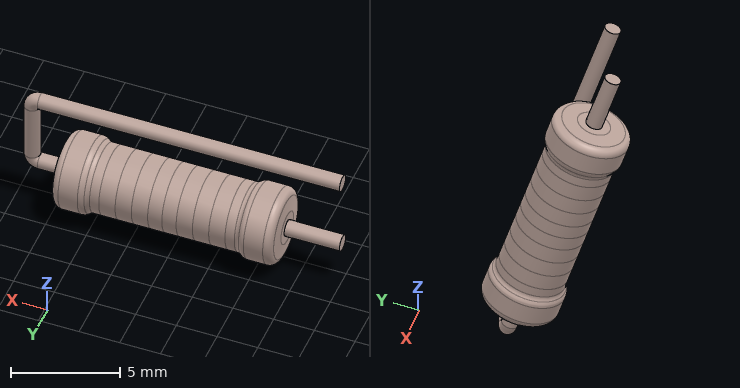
import cadquery as cq
import math


body_length = 11.0
cap_radius = 1.9
waist_radius = 1.7
end_flat_radius = 0.8
end_fillet_radius = 0.4
end_taper = math.radians(5.5)
cap_outer_x = 5.03
cap_inner_x = 4.08
shoulder_end_x = 3.56
convex_share = 0.55

bands_per_half = 2
band_width = 0.8
band_pitch = 1.6
inner_band_start = 0.7

wire_radius = 0.4
bend_radius = wire_radius
lead_end_x = -8.22
riser_x = 7.03
return_height = 3.8

half_length = body_length / 2


def shoulder_points():
    """Middle and end points of the two equal-angle arcs of the S-curve from cap to waist."""
    drop = cap_radius - waist_radius
    run = cap_inner_x - shoulder_end_x
    angle = 2 * math.atan(drop / run)
    radius_sum = run / math.sin(angle)
    convex_radius = radius_sum * convex_share
    concave_radius = radius_sum - convex_radius

    def convex(turn):
        return (cap_inner_x - convex_radius * math.sin(turn),
                cap_radius - convex_radius * (1 - math.cos(turn)))

    def concave(turn):
        return (shoulder_end_x + concave_radius * math.sin(turn),
                waist_radius + concave_radius * (1 - math.cos(turn)))

    return convex(angle / 2), convex(angle), concave(angle / 2), (shoulder_end_x, waist_radius)


def end_fillet_point(angle):
    """Point on the rim fillet, the angle measured from the X direction."""
    return (cap_outer_x + end_fillet_radius * math.cos(angle),
            cap_radius - end_fillet_radius * (1 - math.sin(angle)))


def make_body():
    convex_mid, convex_end, concave_mid, concave_end = shoulder_points()
    fillet_mid = end_fillet_point((end_taper + math.pi / 2) / 2)
    profile = (
        cq.Workplane("XY")
        .moveTo(0, 0)
        .lineTo(half_length, 0)
        .lineTo(half_length, end_flat_radius)
        .lineTo(*end_fillet_point(end_taper))
        .threePointArc(fillet_mid, (cap_outer_x, cap_radius))
        .lineTo(cap_inner_x, cap_radius)
        .threePointArc(convex_mid, convex_end)
        .threePointArc(concave_mid, concave_end)
    )
    for band in reversed(range(bands_per_half)):
        band_start = inner_band_start + band * band_pitch
        profile = profile.lineTo(band_start + band_width, waist_radius)
        profile = profile.lineTo(band_start, waist_radius)
    half = profile.lineTo(0, waist_radius).close().revolve(360, (0, 0, 0), (1, 0, 0), clean=False)
    return half.union(half.mirror("YZ"), clean=False)


def make_straight_lead():
    return (
        cq.Workplane("YZ", origin=(lead_end_x, 0, 0))
        .circle(wire_radius)
        .extrude(-half_length - lead_end_x)
    )


def make_bent_lead():
    bend_start_x = riser_x - bend_radius
    arc_mid_inset = bend_radius * (1 - math.sqrt(0.5))
    lower_mid = (riser_x - arc_mid_inset, arc_mid_inset)
    upper_mid = (riser_x - arc_mid_inset, return_height - arc_mid_inset)
    centreline = (
        cq.Workplane("XZ")
        .moveTo(half_length, 0)
        .lineTo(bend_start_x, 0)
        .threePointArc(lower_mid, (riser_x, bend_radius))
        .lineTo(riser_x, return_height - bend_radius)
        .threePointArc(upper_mid, (bend_start_x, return_height))
        .lineTo(lead_end_x, return_height)
    )
    return cq.Workplane("YZ", origin=(half_length, 0, 0)).circle(wire_radius).sweep(centreline)


body = make_body()
straight_lead = make_straight_lead()
bent_lead = make_bent_lead()

result = cq.Compound.makeCompound([body.val(), straight_lead.val(), bent_lead.val()])